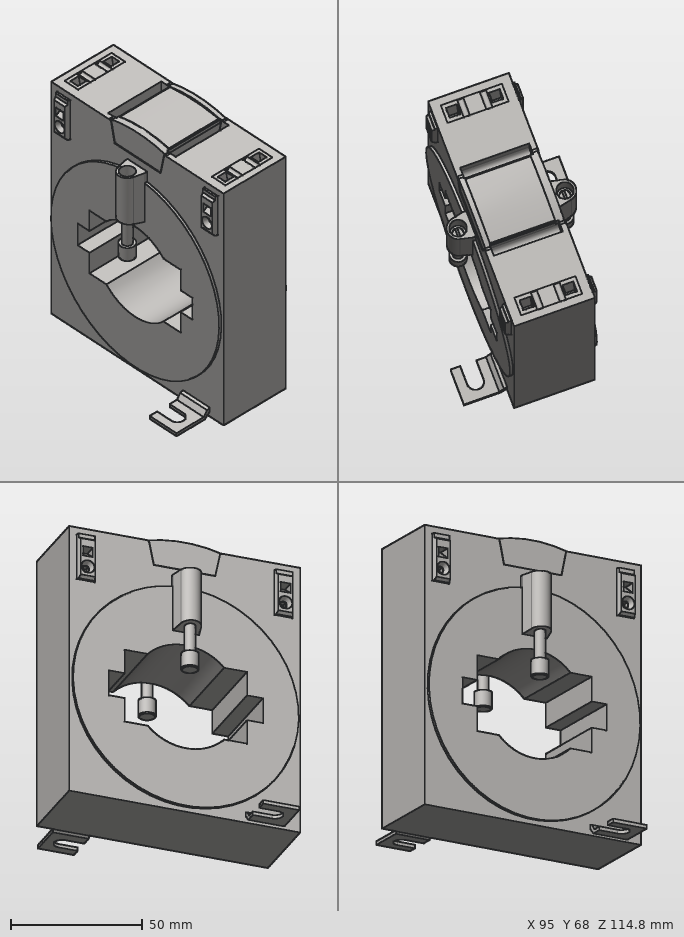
import cadquery as cq
import math

WIDTH = 95.0
HALF_DEPTH = 16.4
TOP = 112.7

DISC_RADIUS = 46.4
DISC_FACE = 17.7
OPENING_Z = 48.3
ROUND_OPENING_RADIUS = 21.9
WIDE_OPENING = (50.3, 30.5)
BAR_OPENING = (63.4, 10.6)

SCREW_Y = 21.7
SOCKET_RADIUS = 4.4
SOCKET_ROOT_WIDTH = 10.8
SOCKET_TOP = 99.3
SOCKET_TIP_BOTTOM = 77.0
SOCKET_ROOT_BOTTOM = 75.5
COUNTERBORE_DIAMETER = 6.7
COUNTERBORE_DEPTH = 8.0
SHAFT_DIAMETER = 4.4
SHAFT_TOP = SOCKET_TOP - COUNTERBORE_DEPTH + 1.1
DRIVE_SLOT_WIDTH = 0.9
DRIVE_SLOT_DEPTH = 0.9
FOOT_PAD_DIAMETER = 6.9
FOOT_PAD_TOP = 64.6
FOOT_PAD_BOTTOM = 57.9
FOOT_PAD_CHAMFER = 0.5

CROWN_TOP = 114.8
CROWN_HALF_WIDTH = 15.7
FLAP_TOP_HALF_WIDTH = 14.7
FLAP_BOTTOM_HALF_WIDTH = 12.6
FLAP_BOTTOM = 102.7
COVER_HALF_DEPTH = 16.1
FRONT_FLAP_INNER = 12.7
BACK_FLAP_INNER = 13.8
BRIDGE_BOTTOM = 111.4
LABEL_WIDTH = 27.1
LABEL_THICKNESS = 0.3
LABEL_TOP = 114.3
LABEL_SAG = 1.0
LABEL_RADIUS = ((LABEL_WIDTH / 2) ** 2 + LABEL_SAG**2) / (2 * LABEL_SAG)

GROOVE_INNER = 14.0
GROOVE_WIDTH = 4.6
GROOVE_LENGTH = 28.0
GROOVE_DEPTH = 6.9

TERMINAL_X = 40.6
TERMINAL_WIDTH = 7.5
TERMINAL_BOTTOM = 90.7
FLANGE_TOP = 109.7
FLANGE_FACE = 17.5
PAD_TOP = 108.0
PAD_FACE = 18.6
PAD_FACE_WIDTH = 6.0
PAD_FACE_TOP = 107.2
PAD_FACE_BOTTOM = 91.8
STRIP_LENGTH = 24.8
WIRE_HOLE_SIZE = 4.0
WIRE_HOLE_DEPTH = 5.7
WIRE_HOLE_Z = 102.0
FUNNEL_Z = 95.7
FUNNEL_MOUTH_DIAMETER = 5.3
FUNNEL_END_DIAMETER = 2.8
FUNNEL_DEPTH = 2.3
CLAMP_HOLE_SIZE = 2.1
CLAMP_HOLE_DEPTH = 4.6
TEST_HOLE_Y = 8.7
TEST_HOLE_WIDTH = 4.1
TEST_HOLE_LENGTH = 4.4
TEST_HOLE_FLOOR_WIDTH = 1.1
TEST_HOLE_DEPTH = 6.9
STRIP_GROOVE_Y = 4.6
STRIP_GROOVE_RADIUS = 1.3

FOOT_INNER_X = 25.1
FOOT_OUTER_X = 40.0
FOOT_REACH = 34.0
FOOT_THICKNESS = 1.5
FOOT_BEND_BOTTOM_Y = 18.9
FOOT_BEND_TOP_Y = 19.6
FOOT_LIP_Y = 17.8
FOOT_LIP_Z = 3.8
FOOT_ROOT_BOTTOM = 2.5
FOOT_ROOT_TOP = 4.4
FOOT_SLOT_Y = 26.7
FOOT_SLOT_WIDTH = 6.5
FOOT_SLOT_END_X = 36.2


def block(x_size, y_size, z_bottom, z_top):
    """Box centred on the Z axis between two heights."""
    return cq.Workplane("XY", origin=(0, 0, z_bottom)).rect(x_size, y_size).extrude(z_top - z_bottom)


def post(diameter, y, z_bottom, z_top):
    """Upright cylinder on the centre plane X = 0."""
    return cq.Workplane("XY", origin=(0, y, z_bottom)).circle(diameter / 2).extrude(z_top - z_bottom)


def turned(body):
    """Copy of a body turned half a revolution about Z."""
    return body.rotate((0, 0, 0), (0, 0, 1), 180)


def cover_envelope(half_depth):
    """Cover outline, flap sides below and arched crown above, extruded through Y."""
    return (
        cq.Workplane("XZ", origin=(0, half_depth, 0))
        .moveTo(-FLAP_BOTTOM_HALF_WIDTH, FLAP_BOTTOM)
        .lineTo(-FLAP_TOP_HALF_WIDTH, TOP)
        .lineTo(-CROWN_HALF_WIDTH, TOP)
        .threePointArc((0, CROWN_TOP), (CROWN_HALF_WIDTH, TOP))
        .lineTo(FLAP_TOP_HALF_WIDTH, TOP)
        .lineTo(FLAP_BOTTOM_HALF_WIDTH, FLAP_BOTTOM)
        .close()
        .extrude(2 * half_depth)
    )


def space_between_flaps(width, z_bottom, z_top):
    """Box that fills the gap from the front flap to the back flap."""
    length = FRONT_FLAP_INNER + BACK_FLAP_INNER
    return block(width, length, z_bottom, z_top).translate((0, (BACK_FLAP_INNER - FRONT_FLAP_INNER) / 2, 0))


def label_cylinder(radius):
    """Cylinder along Y, concentric with the curved label, reaching from flap to flap."""
    return (
        cq.Workplane("XZ", origin=(0, BACK_FLAP_INNER, LABEL_TOP - LABEL_RADIUS))
        .circle(radius)
        .extrude(FRONT_FLAP_INNER + BACK_FLAP_INNER)
    )


def finger_grooves():
    radius = GROOVE_WIDTH / 2
    center_x = GROOVE_INNER + radius
    round_z = TOP - GROOVE_DEPTH + radius
    groove = (
        cq.Workplane("XZ", origin=(center_x, GROOVE_LENGTH / 2, 0))
        .moveTo(-radius, CROWN_TOP)
        .lineTo(-radius, round_z)
        .threePointArc((0, round_z - radius), (radius, round_z))
        .lineTo(radius, CROWN_TOP)
        .close()
        .extrude(GROOVE_LENGTH)
    )
    return groove.union(turned(groove))


def make_cover():
    """Saddle with a flap on the front and the back and a thin arched bridge between them."""
    inside = space_between_flaps(2 * CROWN_HALF_WIDTH, FLAP_BOTTOM, BRIDGE_BOTTOM)
    above_bridge = space_between_flaps(2 * CROWN_HALF_WIDTH, BRIDGE_BOTTOM, CROWN_TOP)
    above_bridge = above_bridge.cut(label_cylinder(LABEL_RADIUS - LABEL_THICKNESS))
    return cover_envelope(COVER_HALF_DEPTH).cut(inside).cut(above_bridge).cut(finger_grooves())


def make_label():
    """Curved plate lying on the bridge of the cover."""
    plate = space_between_flaps(LABEL_WIDTH, BRIDGE_BOTTOM, CROWN_TOP)
    plate = plate.intersect(label_cylinder(LABEL_RADIUS))
    return plate.cut(label_cylinder(LABEL_RADIUS - LABEL_THICKNESS))


def cover_seat():
    """Space in the housing for the flaps, open to the front and back, and for the bridge."""
    inside = space_between_flaps(2 * CROWN_HALF_WIDTH, FLAP_BOTTOM, BRIDGE_BOTTOM)
    return cover_envelope(HALF_DEPTH).cut(inside)


def terminal_outline():
    """Front-to-back block with a raised connection pad on each end and a strip on top."""
    front_profile = [
        (-FLANGE_FACE, TERMINAL_BOTTOM),
        (-PAD_FACE, PAD_FACE_BOTTOM),
        (-PAD_FACE, PAD_FACE_TOP),
        (-FLANGE_FACE, PAD_TOP),
        (-FLANGE_FACE, FLANGE_TOP),
    ]
    back_profile = [(-y, z) for y, z in reversed(front_profile)]
    body = (
        cq.Workplane("YZ", origin=(-TERMINAL_WIDTH / 2, 0, 0))
        .polyline(front_profile + back_profile)
        .close()
        .extrude(TERMINAL_WIDTH)
    )
    half_width = TERMINAL_WIDTH / 2
    half_face = PAD_FACE_WIDTH / 2
    plan = (
        cq.Workplane("XY", origin=(0, 0, TERMINAL_BOTTOM))
        .moveTo(-half_width, -HALF_DEPTH)
        .lineTo(-half_face, -PAD_FACE)
        .lineTo(half_face, -PAD_FACE)
        .lineTo(half_width, -HALF_DEPTH)
        .lineTo(half_width, HALF_DEPTH)
        .lineTo(half_face, PAD_FACE)
        .lineTo(-half_face, PAD_FACE)
        .lineTo(-half_width, HALF_DEPTH)
        .close()
        .extrude(TOP - TERMINAL_BOTTOM)
    )
    strip = block(TERMINAL_WIDTH, STRIP_LENGTH, TERMINAL_BOTTOM, TOP)
    return body.intersect(plan).union(strip)


def wire_holes():
    """Cutter for one pad: a ramped square hole above a funnel that leads to a square hole."""
    half = WIRE_HOLE_SIZE / 2
    ramp = (
        cq.Workplane("YZ", origin=(-half, -PAD_FACE, WIRE_HOLE_Z))
        .polyline([(0, -half), (0, half), (WIRE_HOLE_DEPTH, half)])
        .close()
        .extrude(WIRE_HOLE_SIZE)
    )
    funnel = cq.Workplane("XY").add(
        cq.Solid.makeCone(
            FUNNEL_MOUTH_DIAMETER / 2,
            FUNNEL_END_DIAMETER / 2,
            FUNNEL_DEPTH,
            cq.Vector(0, -PAD_FACE, FUNNEL_Z),
            cq.Vector(0, 1, 0),
        )
    )
    clamp_hole = (
        cq.Workplane("XZ", origin=(0, -PAD_FACE, FUNNEL_Z))
        .rect(CLAMP_HOLE_SIZE, CLAMP_HOLE_SIZE)
        .extrude(-CLAMP_HOLE_DEPTH)
    )
    return ramp.union(funnel).union(clamp_hole)


def strip_cuts():
    """Cutter for the front half of the top strip: a tapered test hole and a round cross groove."""
    mouth = TEST_HOLE_WIDTH / 2
    floor = TEST_HOLE_FLOOR_WIDTH / 2
    test_hole = (
        cq.Workplane("XZ", origin=(0, TEST_HOLE_LENGTH / 2 - TEST_HOLE_Y, TOP))
        .polyline([(-mouth, 0), (mouth, 0), (floor, -TEST_HOLE_DEPTH), (-floor, -TEST_HOLE_DEPTH)])
        .close()
        .extrude(TEST_HOLE_LENGTH)
    )
    groove = (
        cq.Workplane("YZ", origin=(-TERMINAL_WIDTH / 2, -STRIP_GROOVE_Y, TOP))
        .circle(STRIP_GROOVE_RADIUS)
        .extrude(TERMINAL_WIDTH)
    )
    return test_hole.union(groove)


def make_terminal():
    cuts = wire_holes().union(strip_cuts())
    return terminal_outline().cut(cuts).cut(turned(cuts))


def clamp_socket():
    """Socket on the front face: straight sides tangent to a round tip, over a sloping underside."""
    root_y = -HALF_DEPTH
    root_half = SOCKET_ROOT_WIDTH / 2
    run = SCREW_Y - DISC_FACE
    reach = math.hypot(root_half, run)
    tangent_angle = math.acos(SOCKET_RADIUS / reach) - math.atan2(run, root_half)
    tangent_x = SOCKET_RADIUS * math.cos(tangent_angle)
    tangent_y = -SCREW_Y - SOCKET_RADIUS * math.sin(tangent_angle)
    tip_y = -SCREW_Y - SOCKET_RADIUS
    socket = (
        cq.Workplane("XY", origin=(0, 0, SOCKET_ROOT_BOTTOM))
        .moveTo(-root_half, root_y)
        .lineTo(-root_half, -DISC_FACE)
        .lineTo(-tangent_x, tangent_y)
        .threePointArc((0, tip_y), (tangent_x, tangent_y))
        .lineTo(root_half, -DISC_FACE)
        .lineTo(root_half, root_y)
        .close()
        .extrude(SOCKET_TOP - SOCKET_ROOT_BOTTOM)
    )
    underside = (
        cq.Workplane("YZ", origin=(-root_half, 0, 0))
        .moveTo(-DISC_FACE, SOCKET_ROOT_BOTTOM)
        .lineTo(tip_y, SOCKET_TIP_BOTTOM)
        .lineTo(tip_y, SOCKET_ROOT_BOTTOM)
        .close()
        .extrude(SOCKET_ROOT_WIDTH)
    )
    return socket.cut(underside)


def socket_bore():
    through = post(SHAFT_DIAMETER, -SCREW_Y, SOCKET_ROOT_BOTTOM, SOCKET_TOP)
    counterbore = post(COUNTERBORE_DIAMETER, -SCREW_Y, SOCKET_TOP - COUNTERBORE_DEPTH, SOCKET_TOP)
    return through.union(counterbore)


def conductor_opening():
    """Round opening crossed by a wide and a narrow rectangular bar passage."""
    plane = cq.Workplane("XZ", origin=(0, DISC_FACE, OPENING_Z))
    length = 2 * DISC_FACE
    opening = plane.circle(ROUND_OPENING_RADIUS).extrude(length)
    for passage in (WIDE_OPENING, BAR_OPENING):
        opening = opening.union(plane.rect(*passage).extrude(length))
    return opening


def make_housing():
    housing = block(WIDTH, 2 * HALF_DEPTH, 0, TOP)
    disc = cq.Workplane("XZ", origin=(0, DISC_FACE, OPENING_Z)).circle(DISC_RADIUS).extrude(2 * DISC_FACE)
    socket = clamp_socket()
    bore = socket_bore()
    housing = housing.union(disc).union(socket).union(turned(socket))
    housing = housing.cut(bore).cut(turned(bore)).cut(conductor_opening())
    housing = housing.cut(cover_seat()).cut(finger_grooves())
    for side in (-1, 1):
        housing = housing.cut(terminal_outline().translate((side * TERMINAL_X, 0, 0)))
    return housing


def make_screw():
    """Slotted clamp screw with a wide foot pad at its lower end."""
    pad = post(FOOT_PAD_DIAMETER, -SCREW_Y, FOOT_PAD_BOTTOM, FOOT_PAD_TOP)
    pad = pad.faces("<Z").edges().chamfer(FOOT_PAD_CHAMFER)
    shaft = post(SHAFT_DIAMETER, -SCREW_Y, FOOT_PAD_TOP, SHAFT_TOP)
    drive_slot = block(SHAFT_DIAMETER, DRIVE_SLOT_WIDTH, SHAFT_TOP - DRIVE_SLOT_DEPTH, SHAFT_TOP)
    return pad.union(shaft).cut(drive_slot.translate((0, -SCREW_Y, 0)))


def make_foot():
    """Bent sheet foot against the front face, with an open-ended bolt slot."""
    foot = (
        cq.Workplane("YZ", origin=(FOOT_INNER_X, 0, 0))
        .polyline(
            [
                (-FOOT_REACH, 0),
                (-FOOT_BEND_BOTTOM_Y, 0),
                (-HALF_DEPTH, FOOT_ROOT_BOTTOM),
                (-HALF_DEPTH, FOOT_ROOT_TOP),
                (-FOOT_LIP_Y, FOOT_LIP_Z),
                (-FOOT_BEND_TOP_Y, FOOT_THICKNESS),
                (-FOOT_REACH, FOOT_THICKNESS),
            ]
        )
        .close()
        .extrude(FOOT_OUTER_X - FOOT_INNER_X)
    )
    slot_radius = FOOT_SLOT_WIDTH / 2
    slot_center_x = FOOT_SLOT_END_X - slot_radius
    slot = (
        cq.Workplane("XY")
        .moveTo(FOOT_INNER_X, -FOOT_SLOT_Y - slot_radius)
        .lineTo(slot_center_x, -FOOT_SLOT_Y - slot_radius)
        .threePointArc((FOOT_SLOT_END_X, -FOOT_SLOT_Y), (slot_center_x, -FOOT_SLOT_Y + slot_radius))
        .lineTo(FOOT_INNER_X, -FOOT_SLOT_Y + slot_radius)
        .close()
        .extrude(FOOT_THICKNESS)
    )
    return foot.cut(slot)


housing = make_housing()
cover = make_cover()
label = make_label()
terminals = [make_terminal().translate((side * TERMINAL_X, 0, 0)) for side in (-1, 1)]

screws = []
feet = []
for angle in (0, 180):
    screws.append(make_screw().rotate((0, 0, 0), (0, 0, 1), angle))
    feet.append(make_foot().rotate((0, 0, 0), (0, 0, 1), angle))

bodies = [housing, cover, label, *terminals, *screws, *feet]
result = cq.Compound.makeCompound([body.val() for body in bodies])